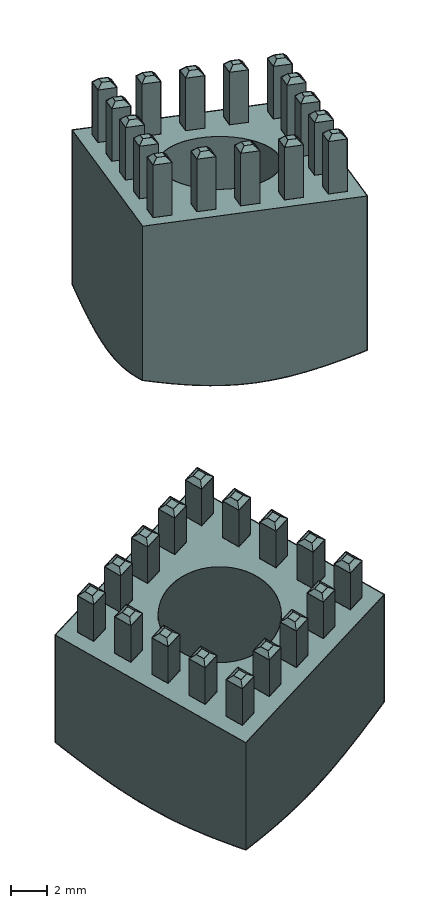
import cadquery as cq
import math

total_height = 14.0
body_width = 13.0
body_height = 10.5
bore_diameter = 6.8
corner_rise = 1.08

pins_per_side = 5
pin_pitch = 2.53
pin_width = 1.1
pin_tip_chamfer = 0.3

pin_height = total_height - body_height
base_radius = body_width / 2
corner_radius = base_radius * math.sqrt(2)


def make_body():
    """Square block whose base corners are turned back by a cone touching the mid-sides."""
    block = cq.Workplane("XY").box(body_width, body_width, body_height, centered=(True, True, False))
    turned_envelope = (
        cq.Workplane("XZ")
        .lineTo(base_radius, 0)
        .lineTo(corner_radius, corner_rise)
        .lineTo(corner_radius, body_height)
        .lineTo(0, body_height)
        .close()
        .revolve(360, (0, 0, 0), (0, 1, 0))
    )
    return block.intersect(turned_envelope)


def cut_bore(body):
    """Round central hole through the whole body."""
    bore = cq.Workplane("XY").circle(bore_diameter / 2).extrude(body_height)
    return body.cut(bore)


def pin_positions():
    """Centres of the pins: the outer ring of a square grid."""
    last = pins_per_side - 1
    grid_start = -pin_pitch * last / 2
    positions = []
    for column in range(pins_per_side):
        for row in range(pins_per_side):
            if column in (0, last) or row in (0, last):
                positions.append((grid_start + column * pin_pitch, grid_start + row * pin_pitch))
    return positions


def make_pins():
    """Square pins standing on the body, each with a chamfered tip."""
    return (
        cq.Workplane("XY")
        .workplane(offset=body_height)
        .pushPoints(pin_positions())
        .rect(pin_width, pin_width)
        .extrude(pin_height)
        .faces(">Z")
        .chamfer(pin_tip_chamfer)
    )


result = cut_bore(make_body()).union(make_pins())